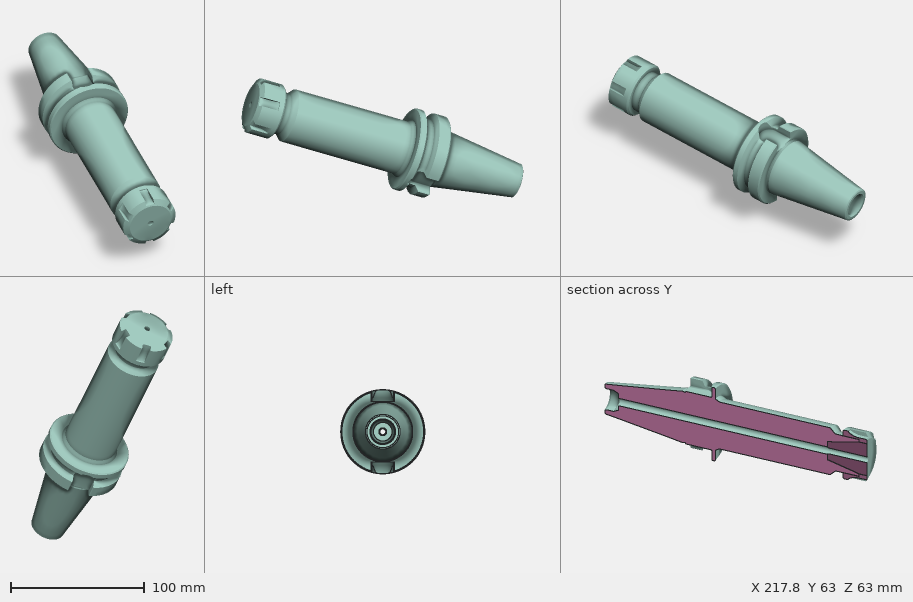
import cadquery as cq
import math

LENGTH = 217.8
X_MIN = -LENGTH / 2
TAPER_END = 65.0
RELIEF_START = 65.8
RELIEF_END = 66.6
FLANGE_START = 67.3
FLANGE_END = 92.1
ROOT_CONE_END = 95.2
SHANK_END = 187.0
NECK_START = 191.5
NUT_START = 197.3

TAPER_SMALL_DIA = 26.0
TAPER_LARGE_DIA = 44.5
TAPER_CHAMFER_LENGTH = 0.7
TAPER_CHAMFER_DEPTH = 1.0
RELIEF_DIA = 43.5
FLANGE_ROOT_DIA = 44.9
POCKET_MOUTH_DIA = 19.2
POCKET_MOUTH_DEPTH = 1.5
POCKET_DIA = 17.6
POCKET_STEP_START = 7.6
POCKET_STEP_END = 8.3
POCKET_STEP_DIA = 16.8
POCKET_FLOOR_DIA = 14.0
POCKET_DEPTH = 11.3
BORE_DIA = 5.9

FLANGE_DIA = 63.0
FLANGE_CHAMFER = 0.9
GROOVE_DIA = 53.1
GROOVE_WALL_START = 77.0
GROOVE_FLOOR_START = 79.5
GROOVE_FLOOR_END = 84.5
GROOVE_WALL_END = 87.3

DRIVE_SLOT_WIDTH = 16.3
DRIVE_SLOT_FLOOR = 22.7
DRIVE_SLOT_END = 88.9
DRIVE_SLOT_FILLET = 0.7
DRIVE_SLOT_CHAMFER = 0.55

ROOT_DIA = 44.0
SHANK_DIA = 40.5
NECK_DIA = 32.0
NOSE_END = 211.3

NUT_DIA = 42.0
NUT_REAR_CHAMFER = 1.3
NUT_FRONT_CHAMFER_LENGTH = 2.5
NUT_FRONT_DIA = 32.9
WRENCH_SLOT_COUNT = 6
WRENCH_SLOT_WIDTH = 6.5
WRENCH_SLOT_FLOOR = 17.5
WRENCH_SLOT_START = 202.3
WRENCH_SLOT_END_RADIUS = 20.0
WRENCH_FLAT_START = 210.5

COLLET_HEAD_DIA = 26.8
COLLET_TIP_DIA = 15.0
COLLET_START = 185.1
COLLET_BORE_DIA = 4.5


def revolve(points):
    """Revolve a profile of (axial distance, radius) points about the X axis."""
    placed = [(X_MIN + x, r) for x, r in points]
    return cq.Workplane("XY").polyline(placed).close().revolve(360, (0, 0, 0), (1, 0, 0))


def make_drive_slot():
    """Round-ended keyway on the +Z side, with a filleted floor."""
    half = DRIVE_SLOT_WIDTH / 2
    return (
        cq.Workplane("XY", origin=(X_MIN, 0, DRIVE_SLOT_FLOOR))
        .moveTo(TAPER_END, -half)
        .lineTo(DRIVE_SLOT_END - half, -half)
        .threePointArc((DRIVE_SLOT_END, 0), (DRIVE_SLOT_END - half, half))
        .lineTo(TAPER_END, half)
        .close()
        .extrude(FLANGE_DIA / 2)
        .faces("<Z")
        .edges("not <X")
        .fillet(DRIVE_SLOT_FILLET)
    )


def make_drive_slot_face_chamfer():
    """Prism that chamfers both slot walls where they meet the rear face of the flange."""
    half = DRIVE_SLOT_WIDTH / 2
    wide = half + DRIVE_SLOT_CHAMFER
    inner_x = FLANGE_START + DRIVE_SLOT_CHAMFER
    return (
        cq.Workplane("XY", origin=(X_MIN, 0, DRIVE_SLOT_FLOOR))
        .polyline([(FLANGE_START, -wide), (inner_x, -half), (inner_x, half), (FLANGE_START, wide)])
        .close()
        .extrude(FLANGE_DIA / 2)
    )


def make_drive_slot_rim_chamfer():
    """Prism that chamfers both slot walls where they meet the outside of the flange."""
    half = DRIVE_SLOT_WIDTH / 2
    wide = half + DRIVE_SLOT_CHAMFER
    rim_z = math.sqrt((FLANGE_DIA / 2) ** 2 - wide**2)
    inner_z = rim_z - DRIVE_SLOT_CHAMFER
    return (
        cq.Workplane("YZ", origin=(X_MIN + FLANGE_START, 0, 0))
        .polyline([(-half, inner_z), (-wide, rim_z), (-wide, FLANGE_DIA), (wide, FLANGE_DIA),
                   (wide, rim_z), (half, inner_z)])
        .close()
        .extrude(GROOVE_FLOOR_START - FLANGE_START)
    )


def make_holder():
    """Taper, flange and shank, with a conical seat for the collet in its nose."""
    holder = revolve([
        (0, POCKET_MOUTH_DIA / 2),
        (0, TAPER_SMALL_DIA / 2 - TAPER_CHAMFER_DEPTH),
        (TAPER_CHAMFER_LENGTH, TAPER_SMALL_DIA / 2),
        (TAPER_END, TAPER_LARGE_DIA / 2),
        (RELIEF_START, RELIEF_DIA / 2),
        (RELIEF_END, RELIEF_DIA / 2),
        (FLANGE_START, FLANGE_ROOT_DIA / 2),
        (FLANGE_START, FLANGE_DIA / 2 - FLANGE_CHAMFER),
        (FLANGE_START + FLANGE_CHAMFER, FLANGE_DIA / 2),
        (GROOVE_WALL_START, FLANGE_DIA / 2),
        (GROOVE_FLOOR_START, GROOVE_DIA / 2),
        (GROOVE_FLOOR_END, GROOVE_DIA / 2),
        (GROOVE_WALL_END, FLANGE_DIA / 2),
        (FLANGE_END - FLANGE_CHAMFER, FLANGE_DIA / 2),
        (FLANGE_END, FLANGE_DIA / 2 - FLANGE_CHAMFER),
        (FLANGE_END, ROOT_DIA / 2),
        (ROOT_CONE_END, SHANK_DIA / 2),
        (SHANK_END, SHANK_DIA / 2),
        (NECK_START, NECK_DIA / 2),
        (NOSE_END, NECK_DIA / 2),
        (NOSE_END, COLLET_HEAD_DIA / 2),
        (COLLET_START, COLLET_TIP_DIA / 2),
        (COLLET_START, BORE_DIA / 2),
        (POCKET_DEPTH, BORE_DIA / 2),
        (POCKET_DEPTH, POCKET_FLOOR_DIA / 2),
        (POCKET_STEP_END, POCKET_STEP_DIA / 2),
        (POCKET_STEP_START, POCKET_DIA / 2),
        (POCKET_MOUTH_DEPTH, POCKET_DIA / 2),
    ])
    for angle in (0, 180):
        for tool in (make_drive_slot(), make_drive_slot_face_chamfer(), make_drive_slot_rim_chamfer()):
            holder = holder.cut(tool.rotate((0, 0, 0), (1, 0, 0), angle))
    return holder


def make_wrench_slot(angle):
    """Wrench slot open to the front, whose floor runs out along an arc at its rear end."""
    half = WRENCH_SLOT_WIDTH / 2
    run = WRENCH_FLAT_START - WRENCH_SLOT_START
    rise = WRENCH_SLOT_END_RADIUS - WRENCH_SLOT_FLOOR
    arc_radius = (run**2 + rise**2) / (2 * rise)
    half_sweep = math.asin(run / arc_radius) / 2
    arc_middle = (
        WRENCH_FLAT_START - arc_radius * math.sin(half_sweep),
        WRENCH_SLOT_FLOOR + arc_radius * (1 - math.cos(half_sweep)),
    )
    slot = (
        cq.Workplane("XZ", origin=(X_MIN, half, 0))
        .moveTo(LENGTH, WRENCH_SLOT_FLOOR)
        .lineTo(WRENCH_FLAT_START, WRENCH_SLOT_FLOOR)
        .threePointArc(arc_middle, (WRENCH_SLOT_START, WRENCH_SLOT_END_RADIUS))
        .lineTo(WRENCH_SLOT_START, NUT_DIA)
        .lineTo(LENGTH, NUT_DIA)
        .close()
        .extrude(WRENCH_SLOT_WIDTH)
    )
    return slot.rotate((0, 0, 0), (1, 0, 0), angle)


def make_nut():
    """Clamping nut over the holder nose, with wrench slots around it."""
    nut = revolve([
        (NUT_START, NECK_DIA / 2),
        (NUT_START, NUT_DIA / 2 - NUT_REAR_CHAMFER),
        (NUT_START + NUT_REAR_CHAMFER, NUT_DIA / 2),
        (LENGTH - NUT_FRONT_CHAMFER_LENGTH, NUT_DIA / 2),
        (LENGTH, NUT_FRONT_DIA / 2),
        (LENGTH, COLLET_HEAD_DIA / 2),
        (NOSE_END, COLLET_HEAD_DIA / 2),
        (NOSE_END, NECK_DIA / 2),
    ])
    for i in range(WRENCH_SLOT_COUNT):
        nut = nut.cut(make_wrench_slot(i * 360 / WRENCH_SLOT_COUNT))
    return nut


def make_collet():
    """Collet seated in the holder nose, its face flush with the front of the nut."""
    return revolve([
        (COLLET_START, COLLET_BORE_DIA / 2),
        (COLLET_START, COLLET_TIP_DIA / 2),
        (NOSE_END, COLLET_HEAD_DIA / 2),
        (LENGTH, COLLET_HEAD_DIA / 2),
        (LENGTH, COLLET_BORE_DIA / 2),
    ])


holder = make_holder()
nut = make_nut()
collet = make_collet()

result = cq.Compound.makeCompound([holder.val(), nut.val(), collet.val()])